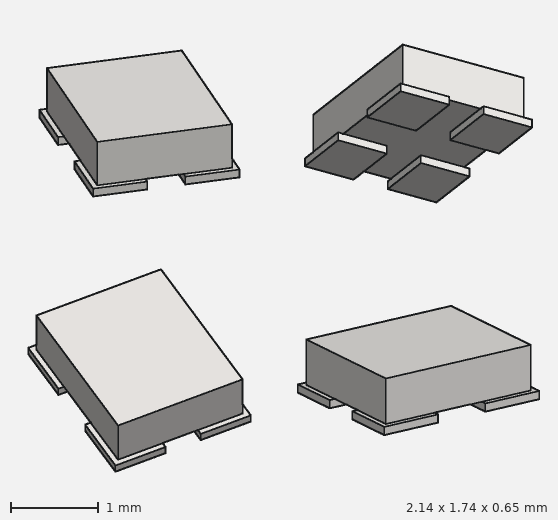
import cadquery as cq

overall_length = 2.14
overall_width = 1.74
overall_height = 0.65

pad_length = 0.745
pad_width = 0.645
pad_thickness = 0.1

housing_length = 2.0
housing_width = 1.6
housing_height = overall_height - pad_thickness


def make_housing():
    """Plain block centred over the four pads."""
    return (
        cq.Workplane("XY")
        .workplane(offset=pad_thickness)
        .rect(housing_length, housing_width)
        .extrude(housing_height)
    )


def make_pad(x_side, y_side):
    """Flat pad in the corner chosen by the signs x_side and y_side."""
    center_x = x_side * (overall_length - pad_length) / 2
    center_y = y_side * (overall_width - pad_width) / 2
    return (
        cq.Workplane("XY")
        .center(center_x, center_y)
        .rect(pad_length, pad_width)
        .extrude(pad_thickness)
    )


housing = make_housing()
pads = [make_pad(x_side, y_side) for x_side in (-1, 1) for y_side in (-1, 1)]

result = cq.Compound.makeCompound([housing.val(), *[pad.val() for pad in pads]])